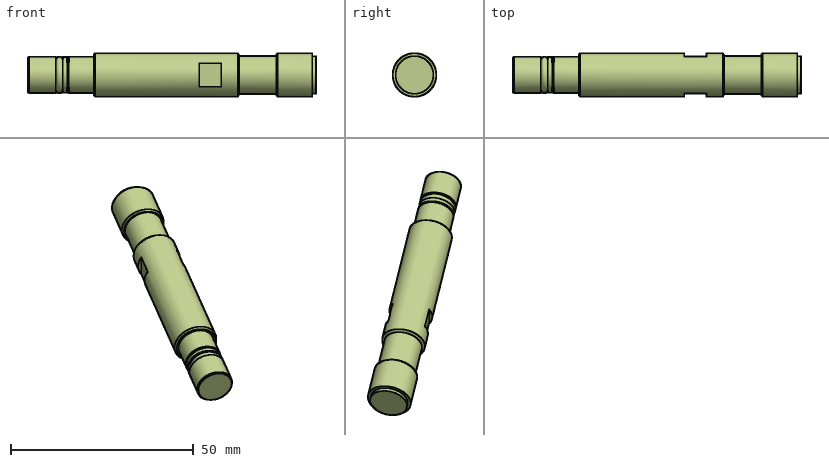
import cadquery as cq
import math

TOTAL_LENGTH = 78.9
GROOVE_START = 7.65
GROOVE_WIDTH = 3.55
BODY_START = 18.0
BODY_END = 57.9
HEAD_START = 67.9
SPIGOT_LENGTH = 1.0

MAIN_DIAMETER = 12.0
SEAL_END_DIAMETER = 10.0
GROOVE_DIAMETER = 7.0
NECK_DIAMETER = 10.5
SPIGOT_DIAMETER = 10.3

TIP_CHAMFER_LENGTH = 0.3
TIP_FACE_DIAMETER = 9.5
SHOULDER_CHAMFER = 0.5

FLAT_START = 46.95
FLAT_LENGTH = 6.0
ACROSS_FLATS = 10.2

BEAD_THICKNESS = 2.0
BEAD_OUTER_DIAMETER = 10.0
BAND_START = 9.55
BAND_WIDTH = 1.2
BAND_DIAMETER = 9.9

BEAD_RADIUS = BEAD_THICKNESS / 2
GROOVE_END = GROOVE_START + GROOVE_WIDTH
HEAD_END = TOTAL_LENGTH - SPIGOT_LENGTH


def revolve_about_x(profile):
    """Revolve a closed profile of (x, radius) a full turn about the X axis."""
    return profile.close().revolve(360, (0, 0, 0), (1, 0, 0))


def make_turned_shaft():
    main_radius = MAIN_DIAMETER / 2
    seal_end_radius = SEAL_END_DIAMETER / 2
    groove_radius = GROOVE_DIAMETER / 2
    chamfer_root_radius = main_radius - SHOULDER_CHAMFER
    neck_radius = NECK_DIAMETER / 2
    spigot_radius = SPIGOT_DIAMETER / 2
    outline = [
        (0, 0),
        (0, TIP_FACE_DIAMETER / 2),
        (TIP_CHAMFER_LENGTH, seal_end_radius),
        (GROOVE_START, seal_end_radius),
        (GROOVE_START, groove_radius),
        (GROOVE_END, groove_radius),
        (GROOVE_END, seal_end_radius),
        (BODY_START, seal_end_radius),
        (BODY_START, chamfer_root_radius),
        (BODY_START + SHOULDER_CHAMFER, main_radius),
        (BODY_END - SHOULDER_CHAMFER, main_radius),
        (BODY_END, neck_radius),
        (HEAD_START, neck_radius),
        (HEAD_START, chamfer_root_radius),
        (HEAD_START + SHOULDER_CHAMFER, main_radius),
        (HEAD_END, main_radius),
        (HEAD_END, spigot_radius),
        (TOTAL_LENGTH, spigot_radius),
        (TOTAL_LENGTH, 0),
    ]
    return revolve_about_x(cq.Workplane("XY").polyline(outline))


def cut_wrench_flats(shaft):
    flat_center_x = FLAT_START + FLAT_LENGTH / 2
    for side in (-1, 1):
        cutter = cq.Workplane("XY").box(FLAT_LENGTH, MAIN_DIAMETER, MAIN_DIAMETER).translate(
            (flat_center_x, side * (ACROSS_FLATS + MAIN_DIAMETER) / 2, 0)
        )
        shaft = shaft.cut(cutter)
    return shaft


def make_seal_ring():
    bore_radius = GROOVE_DIAMETER / 2
    band_radius = BAND_DIAMETER / 2
    band_end = BAND_START + BAND_WIDTH
    bead_center_x = GROOVE_START + BEAD_RADIUS
    bead_top_radius = BEAD_OUTER_DIAMETER / 2
    bead_center_radius = bead_top_radius - BEAD_RADIUS
    bead_meets_band = bead_center_radius + math.sqrt(BEAD_RADIUS**2 - (BAND_START - bead_center_x) ** 2)
    profile = (
        cq.Workplane("XY")
        .moveTo(GROOVE_START, bore_radius)
        .lineTo(GROOVE_START, bead_center_radius)
        .threePointArc((bead_center_x, bead_top_radius), (BAND_START, bead_meets_band))
        .lineTo(BAND_START, band_radius)
        .lineTo(band_end, band_radius)
        .lineTo(band_end, bore_radius)
    )
    return revolve_about_x(profile)


shaft = cut_wrench_flats(make_turned_shaft())
seal_ring = make_seal_ring()

result = cq.Compound.makeCompound([shaft.val(), seal_ring.val()])